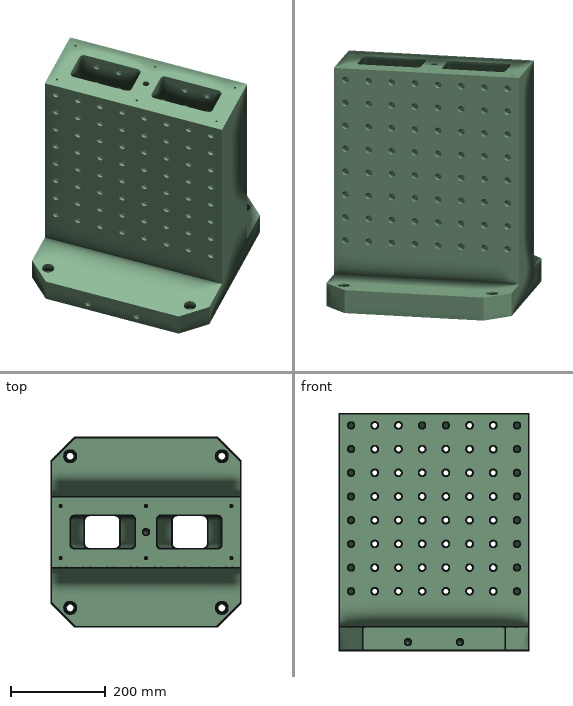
import cadquery as cq
import math

base_side = 400.0
base_height = 50.0
base_corner_cut = 50.0

column_depth = 150.0
total_height = 500.0

cavity_length = 320.0
cavity_width = 70.0
cavity_radius = 10.0
floor_height = base_height
bridge_width = 45.0
bridge_thickness = 45.0

window_length = 75.0
window_offset = 92.5

grid_hole_diameter = 14.0
grid_pitch = 50.0
grid_count = 8
grid_top_margin = 25.0
grid_hole_depth = (column_depth - cavity_width) / 2

mount_offset = 160.0
mount_diameter = 18.0
mount_bore_diameter = 26.0
mount_bore_depth = 20.0

drill_tip_angle = 118.0
lifting_hole_diameter = 14.0
lifting_hole_depth = 35.0
side_hole_diameter = 14.0
side_hole_offset = 55.0
side_hole_height = 18.0
side_hole_depth = 30.0

cover_hole_diameter = 5.0
cover_hole_depth = 15.0
cover_offset_x = 180.0
cover_offset_y = 55.0


def make_body():
    plate = (
        cq.Workplane("XY")
        .box(base_side, base_side, base_height, centered=(True, True, False))
        .edges("|Z")
        .chamfer(base_corner_cut)
    )
    column = cq.Workplane("XY").box(
        base_side, column_depth, total_height, centered=(True, True, False)
    )
    return plate.union(column)


def rounded_block(length, center_x, bottom, top):
    """Upright block as wide as the cavity, with rounded vertical edges."""
    return (
        cq.Workplane("XY", origin=(center_x, 0, bottom))
        .rect(length, cavity_width)
        .extrude(top - bottom)
        .edges("|Z")
        .fillet(cavity_radius)
    )


def make_hollow():
    bridge_bottom = total_height - bridge_thickness
    hollow = rounded_block(cavity_length, 0, floor_height, bridge_bottom)
    hollow = hollow.faces("<Z or >Z").edges().fillet(cavity_radius)
    mouth_length = (cavity_length - bridge_width) / 2
    mouth_offset = (bridge_width + mouth_length) / 2
    mouth_bottom = bridge_bottom - 2 * cavity_radius
    for side in (-1, 1):
        mouth = rounded_block(mouth_length, side * mouth_offset, mouth_bottom, total_height)
        window = rounded_block(window_length, side * window_offset, 0, floor_height + cavity_radius)
        hollow = hollow.union(mouth).union(window)
    return hollow


def drilled_hole(diameter, depth, start, direction):
    """Cylinder with a drill point beyond its full-diameter depth."""
    radius = diameter / 2
    tip_length = radius / math.tan(math.radians(drill_tip_angle / 2))
    axis = cq.Vector(*direction)
    opening = cq.Vector(*start)
    shank = cq.Solid.makeCylinder(radius, depth, opening, axis)
    tip = cq.Solid.makeCone(radius, 0, tip_length, opening + axis * depth, axis)
    return cq.Workplane(shank).union(cq.Workplane(tip))


def cut_grid_holes(body):
    grid_center_height = total_height - grid_top_margin - (grid_count - 1) * grid_pitch / 2
    for side in (-1, 1):
        holes = (
            cq.Workplane("XZ", origin=(0, side * column_depth / 2, grid_center_height))
            .rarray(grid_pitch, grid_pitch, grid_count, grid_count)
            .circle(grid_hole_diameter / 2)
            .extrude(side * grid_hole_depth)
        )
        body = body.cut(holes)
    return body


def cut_mounting_holes(body):
    return (
        body.copyWorkplane(cq.Workplane("XY", origin=(0, 0, base_height)))
        .rect(2 * mount_offset, 2 * mount_offset, forConstruction=True)
        .vertices()
        .cboreHole(mount_diameter, mount_bore_diameter, mount_bore_depth)
    )


def cut_top_holes(body):
    down = (0, 0, -1)
    lifting_hole = drilled_hole(
        lifting_hole_diameter, lifting_hole_depth, (0, 0, total_height), down
    )
    body = body.cut(lifting_hole)
    for x in (-cover_offset_x, 0, cover_offset_x):
        for y in (-cover_offset_y, cover_offset_y):
            start = (x, y, total_height)
            body = body.cut(drilled_hole(cover_hole_diameter, cover_hole_depth, start, down))
    return body


def cut_side_holes(body):
    for x in (-side_hole_offset, side_hole_offset):
        start = (x, -base_side / 2, side_hole_height)
        body = body.cut(drilled_hole(side_hole_diameter, side_hole_depth, start, (0, 1, 0)))
    return body


body = make_body().cut(make_hollow())
body = cut_grid_holes(body)
body = cut_mounting_holes(body)
body = cut_top_holes(body)
result = cut_side_holes(body)